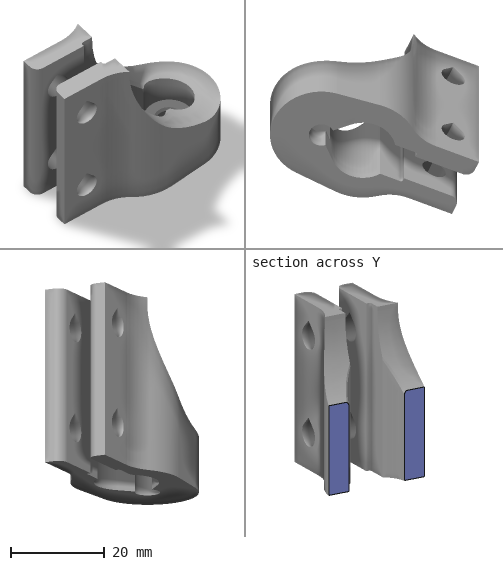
import cadquery as cq
import math

bore_radius = 7.0
collar_radius = 12.0
nose_radius = 11.0
hole_radius = 2.7
hole_y = 9.7
counterbore_radius = 5.5
counterbore_floor = 6.0
hole_chamfer = 0.5
bore_chamfer = 0.6

total_length = 44.57
total_height = 38.0
nose_y = hole_y + nose_radius
arm_end_y = nose_y - total_length

arm_half_width = 7.2
neck_radius = 10.0
gap_half_width = 3.0
arm_tip_radius = 2.0
relief_half_width = 4.0
relief_end_y = arm_end_y + 13.0
relief_corner_radius = 0.5

collar_height = 12.0
saddle_radius = 25.0
saddle_end_y = arm_end_y + 16.0
saddle_axis_y = saddle_end_y + saddle_radius
saddle_axis_z = collar_height + saddle_radius

screw_radius = 2.7
screw_y = arm_end_y + 6.0
screw_heights = (8.0, 30.0)

teardrop_angle = math.radians(45)
chamfer_start_angle = math.radians(-60)
chamfer_run = 3.0
chamfer_sections = 8
chamfer_overreach = 1.5

cut_margin = 1.0


def teardrop(plane, x, y, radius):
    """Circle with a 90 degree point in the plane's local +Y direction."""
    side = radius / math.sqrt(2)
    return (
        plane.moveTo(x - side, y + side)
        .threePointArc((x, y - radius), (x + side, y + side))
        .lineTo(x, y + radius * math.sqrt(2))
        .close()
    )


def outer_body():
    sine = (collar_radius - nose_radius) / hole_y
    cosine = math.sqrt(1 - sine**2)
    nose_tangent = (nose_radius * cosine, hole_y + nose_radius * sine)
    collar_tangent = (collar_radius * cosine, collar_radius * sine)

    neck_x = arm_half_width + neck_radius
    neck_reach = collar_radius + neck_radius
    neck_y = -math.sqrt(neck_reach**2 - neck_x**2)
    neck_share = collar_radius / neck_reach
    neck_tangent = (neck_x * neck_share, neck_y * neck_share)
    neck_angle = (math.pi + math.atan2(-neck_y, -neck_x)) / 2
    neck_mid = (
        neck_x + neck_radius * math.cos(neck_angle),
        neck_y + neck_radius * math.sin(neck_angle),
    )

    half = (
        cq.Workplane("XY")
        .moveTo(0, arm_end_y)
        .lineTo(arm_half_width, arm_end_y)
        .lineTo(arm_half_width, neck_y)
        .threePointArc(neck_mid, neck_tangent)
        .threePointArc((collar_radius, 0), collar_tangent)
        .lineTo(*nose_tangent)
        .radiusArc((0, nose_y), -nose_radius)
        .close()
        .extrude(total_height)
    )
    return half.union(half.mirror("YZ"))


def saddle_cutter():
    diagonal = saddle_radius / math.sqrt(2)
    return (
        cq.Workplane("YZ")
        .moveTo(nose_y + cut_margin, collar_height)
        .lineTo(saddle_axis_y, collar_height)
        .threePointArc((saddle_axis_y - diagonal, saddle_axis_z - diagonal), (saddle_end_y, saddle_axis_z))
        .lineTo(saddle_end_y, total_height + cut_margin)
        .lineTo(nose_y + cut_margin, total_height + cut_margin)
        .close()
        .extrude(collar_radius + cut_margin, both=True)
    )


def chamfer_section(angle, run=0.0):
    """Triangle across the bore mouth, touching wall and saddle as a ball of the chamfer size would.

    The angle gives the wall's outward direction and run is the distance along its tangent.
    """
    outward = cq.Vector(math.cos(angle), math.sin(angle), 0)
    along = cq.Vector(-math.sin(angle), math.cos(angle), 0)
    wall_offset = bore_radius + bore_chamfer
    ball_plan = outward * wall_offset + along * run

    offset_radius = saddle_radius + bore_chamfer
    reach = saddle_axis_y - ball_plan.y
    drop = math.sqrt(offset_radius**2 - reach**2)
    ball = ball_plan + cq.Vector(0, 0, saddle_axis_z - drop)
    to_wall = outward * -1
    to_saddle = cq.Vector(0, reach / offset_radius, drop / offset_radius)

    to_edge = (to_wall + to_saddle) * (1 / (1 + to_wall.dot(to_saddle)))
    corners = [
        ball + to_wall * bore_chamfer,
        ball + to_saddle * bore_chamfer,
        ball + to_edge * (bore_chamfer * chamfer_overreach),
    ]
    return cq.Wire.makePolygon(corners, close=True)


def bore_chamfer_cutter():
    """Chamfer along the bore mouth: a round stretch and a straight one, on both sides."""
    steps = range(chamfer_sections + 1)
    sweep = teardrop_angle - chamfer_start_angle
    round_sections = [
        chamfer_section(chamfer_start_angle + sweep * step / chamfer_sections) for step in steps
    ]
    straight_sections = [
        chamfer_section(teardrop_angle, chamfer_run * step / chamfer_sections) for step in steps
    ]
    side = cq.Workplane(cq.Solid.makeLoft(round_sections)).union(
        cq.Workplane(cq.Solid.makeLoft(straight_sections))
    )
    return side.union(side.mirror("YZ"))


def bore_cutter():
    return teardrop(cq.Workplane("XY"), 0, 0, bore_radius).extrude(total_height)


def small_hole_cutter():
    """Through hole with a chamfered mouth and a counterbore open to the saddle."""
    hole = cq.Workplane("XY").center(0, hole_y).circle(hole_radius).extrude(counterbore_floor)
    chamfer = cq.Workplane(
        cq.Solid.makeCone(
            hole_radius,
            hole_radius + hole_chamfer,
            hole_chamfer,
            cq.Vector(0, hole_y, counterbore_floor - hole_chamfer),
        )
    )
    counterbore = (
        cq.Workplane("XY", origin=(0, hole_y, counterbore_floor))
        .circle(counterbore_radius)
        .extrude(total_height - counterbore_floor)
    )
    return hole.union(chamfer).union(counterbore)


def slot_cutter():
    """Gap between the arms with a wider relief next to the bore."""
    gap = (
        cq.Workplane("XY")
        .center(0, arm_end_y / 2)
        .rect(2 * gap_half_width, -arm_end_y)
        .extrude(total_height)
    )
    relief = (
        cq.Workplane("XY")
        .center(0, relief_end_y / 2)
        .rect(2 * relief_half_width, -relief_end_y)
        .extrude(total_height)
        .edges("|Z and <Y")
        .fillet(relief_corner_radius)
    )
    return gap.union(relief)


def cut_screw_holes(body):
    for height in screw_heights:
        screw = teardrop(cq.Workplane("YZ"), screw_y, height, screw_radius)
        body = body.cut(screw.extrude(collar_radius, both=True))
    return body


def round_arm_tips(body):
    tips = cq.selectors.BoxSelector(
        (-gap_half_width - cut_margin, arm_end_y - cut_margin, -cut_margin),
        (gap_half_width + cut_margin, arm_end_y + cut_margin, total_height + cut_margin),
    )
    return body.edges("|Z").edges(tips).fillet(arm_tip_radius)


body = outer_body().cut(saddle_cutter())
body = body.cut(bore_cutter()).cut(bore_chamfer_cutter())
body = body.cut(slot_cutter()).cut(small_hole_cutter())
body = round_arm_tips(body)
result = cut_screw_holes(body)